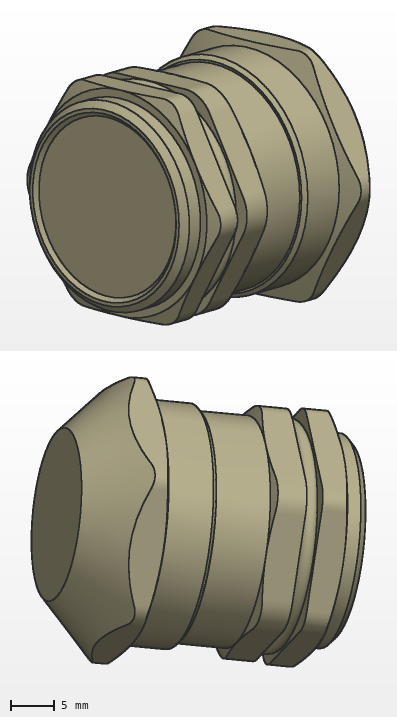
import cadquery as cq
import math


total_length = 33.75
locknut_front = 2.75
locknut_back = 6.2
flange_front = 8.05
flange_back = 12.05
collar_front = 18.63
cap_front = 24.5

tip_diameter = 25.0
tip_chamfer = 0.85
recess_diameter = 22.4
recess_depth = 0.5
recess_wall_angle = 45.0
body_diameter = 27.0
collar_diameter = 28.6
collar_chamfer = 0.5
seal_ring_diameter = 27.47

small_across_flats = 27.0
cap_across_flats = 30.0
corner_radius = 3.0
flange_corner_radius = 4.5
hex_chamfer_angle = 20.0
cap_cone_angle = 45.0
cap_end_diameter = 20.1


def cylinder(diameter, start, end):
    """Solid cylinder on the Y axis from y = start to y = end."""
    return cq.Workplane("XZ", origin=(0, start, 0)).circle(diameter / 2).extrude(start - end)


def rounded_hexagon(across_flats, edge_radius, start, end):
    """Hexagonal prism along Y with flats at top and bottom and rounded long edges."""
    across_corners = across_flats / math.cos(math.radians(30))
    prism = cq.Workplane("XZ", origin=(0, start, 0)).polygon(6, across_corners).extrude(start - end)
    return prism.edges("|Y").fillet(edge_radius)


def cone_envelope(face_diameter, face_y, far_y, angle):
    """Turned envelope that widens from the face at face_y by the given angle and ends at far_y."""
    face_radius = face_diameter / 2
    rim_radius = face_radius + abs(far_y - face_y) / math.tan(math.radians(angle))
    profile = [(0, face_y), (face_radius, face_y), (rim_radius, far_y), (0, far_y)]
    return cq.Workplane("XY").polyline(profile).close().revolve(360, (0, 0, 0), (0, 1, 0))


def make_tip():
    """Connection end with a chamfered rim, running through to the flange."""
    return cylinder(tip_diameter, 0, flange_front).faces("<Y").chamfer(tip_chamfer)


def make_locknut():
    hexagon = rounded_hexagon(small_across_flats, corner_radius, locknut_front, locknut_back)
    return hexagon.intersect(
        cone_envelope(small_across_flats, locknut_front, locknut_back, hex_chamfer_angle)
    )


def make_seal_ring():
    """Sealing ring with a half-round rim filling the gap between locknut and flange."""
    rim_radius = seal_ring_diameter / 2
    section_radius = (flange_front - locknut_back) / 2
    edge_radius = rim_radius - section_radius
    middle_y = (flange_front + locknut_back) / 2
    profile = (
        cq.Workplane("XY")
        .moveTo(0, locknut_back)
        .lineTo(edge_radius, locknut_back)
        .threePointArc((rim_radius, middle_y), (edge_radius, flange_front))
        .lineTo(0, flange_front)
        .close()
    )
    return profile.revolve(360, (0, 0, 0), (0, 1, 0))


def make_flange():
    hexagon = rounded_hexagon(small_across_flats, flange_corner_radius, flange_front, flange_back)
    return hexagon.intersect(
        cone_envelope(small_across_flats, flange_back, flange_front, hex_chamfer_angle)
    )


def make_body():
    """Plain barrel behind the flange and the larger chamfered collar."""
    barrel = cylinder(body_diameter, flange_back, collar_front)
    collar = cylinder(collar_diameter, collar_front, cap_front).faces("<Y").chamfer(collar_chamfer)
    return barrel.union(collar)


def make_cap():
    """Hexagonal cap nut with a cone at the outer end and a shallow chamfer toward the collar."""
    hexagon = rounded_hexagon(cap_across_flats, corner_radius, cap_front, total_length)
    front_chamfer = cone_envelope(collar_diameter, cap_front, total_length, hex_chamfer_angle)
    end_cone = cone_envelope(cap_end_diameter, total_length, cap_front, cap_cone_angle)
    return hexagon.intersect(front_chamfer).intersect(end_cone)


def make_recess():
    """Shallow recess in the tip whose wall tapers in to a flat floor."""
    wall_inset = recess_depth / math.tan(math.radians(recess_wall_angle))
    floor_diameter = recess_diameter - 2 * wall_inset
    return cone_envelope(floor_diameter, recess_depth, 0, recess_wall_angle)


result = (
    make_tip()
    .union(make_locknut())
    .union(make_seal_ring())
    .union(make_flange())
    .union(make_body())
    .union(make_cap())
    .cut(make_recess())
)